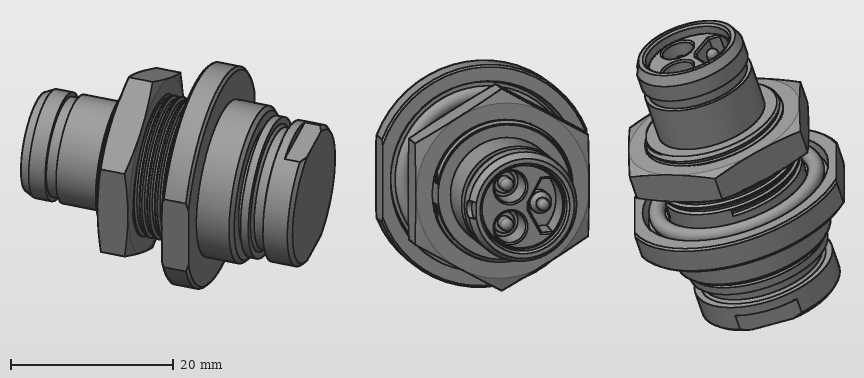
import cadquery as cq
import math

CLEARANCE = 0.18

NOSE_CHAMFER_END = 1.22
SNAP_GROOVE_START = 3.35
SNAP_GROOVE_END = 4.8
THREAD_START = 10.45
FLANGE_FRONT = 20.55
FLANGE_BACK = 24.0
BODY_END = 28.75
RING_START = 29.4
RING_END = 30.42
REAR_NECK_START = 30.78
REAR_NECK_END = 31.95
TAIL_START = 32.33
TAIL_FLAT_START = 33.5
LENGTH = 36.0

NOSE_TIP_RADIUS = 6.25
NOSE_RADIUS = 6.88
SNAP_GROOVE_RADIUS = 6.35
THREAD_RADIUS = 8.93
FLANGE_RADIUS = 14.0
BODY_RADIUS = 9.95
NECK_RADIUS = 7.7
TAIL_RADIUS = THREAD_RADIUS
FLANGE_FRONT_CHAMFER = 0.25
FLANGE_BACK_CHAMFER = 0.35
END_CHAMFER = 0.5

FLANGE_ACROSS_FLATS = 26.0
TAIL_ACROSS_FLATS = 16.0
THREAD_FLAT_Y = 8.42

PITCH = 1.0
THREAD_DEPTH = 0.4
CREST_WIDTH = 0.25
FLANK_ANGLE = 30.0
CREST_X_AT_TOP = 16.25
TURNS_PAST_CREST = 3
THREAD_LEAD_CHAMFER = 0.45

SEAL_TUBE_RADIUS = 1.0
SEAL_RADIUS = 10.25
SEAL_PROTRUSION = 0.55
SEAL_GROOVE_DEPTH = 1.35
SEAL_GROOVE_MOUTH_RADIUS = 12.0
SEAL_GROOVE_FLOOR_RADIUS = 11.63

KEY_SLOT_RADIUS = 1.05
KEY_SLOT_FLOOR_Y = 6.2

SOCKET_RADIUS = 5.4
SOCKET_CHAMFER = 0.3
SOCKET_DEPTH = 1.2
INSERT_CHAMFER = 0.2
CAVITY_DEPTH = 3.6
CAVITY_FLOOR = SOCKET_DEPTH + CAVITY_DEPTH
CAVITY_RADIUS = 1.98
CAVITY_CHAMFER = 0.2
CAVITY_DRAFT = 0.15
CONTACT_Y = 1.55
CONTACT_Z = 2.52
CONTACT_RADIUS = 0.83
CONTACT_TIP_DEPTH = 1.0
CONTACT_COLLAR_RADIUS = 1.35
CONTACT_COLLAR_LENGTH = 0.35
EARTH_POCKET_RADIUS = 5.1
EARTH_Y = -2.8
EARTH_RADIUS = 0.75
EARTH_TIP_DEPTH = -0.15
EARTH_CONE_LENGTH = 0.72
EARTH_POCKET_APEX_Y = -0.83
EARTH_POCKET_APEX_HALF = 0.45
EARTH_POCKET_SHOULDER_Y = -2.45
EARTH_POCKET_HALF = 3.4

NUT_START = 11.52
NUT_WIDTH = 3.95
NUT_ACROSS_FLATS = 22.05
NUT_CHAMFER_LENGTH = 0.45


def turned(points):
    """Solid of revolution about X from (x, radius) points."""
    return cq.Workplane("XY").polyline(points).close().revolve(360, (0, 0, 0), (1, 0, 0))


def rod(radius, start, end, y=0.0, z=0.0):
    """Cylinder parallel to X."""
    return cq.Workplane("YZ", origin=(start, y, z)).circle(radius).extrude(end - start)


def box_between(x0, x1, y0, y1, z0, z1):
    return cq.Workplane("XY").box(x1 - x0, y1 - y0, z1 - z0, centered=False).translate((x0, y0, z0))


def turned_shell():
    return turned([
        (0, 0),
        (0, NOSE_TIP_RADIUS),
        (NOSE_CHAMFER_END, NOSE_RADIUS),
        (SNAP_GROOVE_START, NOSE_RADIUS),
        (SNAP_GROOVE_START, SNAP_GROOVE_RADIUS),
        (SNAP_GROOVE_END, SNAP_GROOVE_RADIUS),
        (SNAP_GROOVE_END, NOSE_RADIUS),
        (THREAD_START, NOSE_RADIUS),
        (THREAD_START, THREAD_RADIUS - THREAD_LEAD_CHAMFER),
        (THREAD_START + THREAD_LEAD_CHAMFER, THREAD_RADIUS),
        (FLANGE_FRONT, THREAD_RADIUS),
        (FLANGE_FRONT, FLANGE_RADIUS - FLANGE_FRONT_CHAMFER),
        (FLANGE_FRONT + FLANGE_FRONT_CHAMFER, FLANGE_RADIUS),
        (FLANGE_BACK - FLANGE_BACK_CHAMFER, FLANGE_RADIUS),
        (FLANGE_BACK, FLANGE_RADIUS - FLANGE_BACK_CHAMFER),
        (FLANGE_BACK, BODY_RADIUS),
        (BODY_END - END_CHAMFER, BODY_RADIUS),
        (BODY_END, BODY_RADIUS - END_CHAMFER),
        (BODY_END, NECK_RADIUS),
        (RING_START, NECK_RADIUS),
        (RING_START, TAIL_RADIUS),
        (RING_END, TAIL_RADIUS),
        (RING_END, NECK_RADIUS + REAR_NECK_START - RING_END),
        (REAR_NECK_START, NECK_RADIUS),
        (REAR_NECK_END, NECK_RADIUS),
        (TAIL_START, NECK_RADIUS + TAIL_START - REAR_NECK_END),
        (TAIL_START, TAIL_RADIUS),
        (LENGTH - END_CHAMFER, TAIL_RADIUS),
        (LENGTH, TAIL_RADIUS - END_CHAMFER),
        (LENGTH, 0),
    ])


def side_slabs(start, end, half_gap, axis):
    """Pair of cutters that leave two flats at +/-half_gap; axis is 'Y' or 'Z'."""
    reach = FLANGE_RADIUS + CLEARANCE
    slab = box_between(start, end, half_gap, reach, -reach, reach)
    if axis == "Z":
        slab = slab.rotate((0, 0, 0), (1, 0, 0), 90)
    return slab.union(slab.rotate((0, 0, 0), (1, 0, 0), 180))


def thread_cutter():
    """Right-hand helical groove with a trapezoid section, running out past the thread start."""
    flank = THREAD_DEPTH * math.tan(math.radians(FLANK_ANGLE))
    mouth_half = (PITCH - CREST_WIDTH) / 2
    root_half = mouth_half - flank
    outer_half = mouth_half + CLEARANCE * math.tan(math.radians(FLANK_ANGLE))

    turns_to_front = math.ceil((CREST_X_AT_TOP - THREAD_START) / PITCH) + 1
    start = CREST_X_AT_TOP + PITCH / 2 - turns_to_front * PITCH
    run = CREST_X_AT_TOP + TURNS_PAST_CREST * PITCH - start
    root = THREAD_RADIUS - THREAD_DEPTH
    rim = THREAD_RADIUS + CLEARANCE
    helix = cq.Wire.makeHelix(PITCH, run, root)
    groove = (
        cq.Workplane("XZ")
        .polyline([(root, -root_half), (rim, -outer_half), (rim, outer_half), (root, root_half)])
        .close()
        .sweep(cq.Workplane(helix), isFrenet=True)
    )
    groove = groove.rotate((0, 0, 0), (0, 1, 0), 90).rotate((0, 0, 0), (1, 0, 0), 180)
    return groove.translate((start, 0, 0))


def seal_groove():
    floor = FLANGE_FRONT + SEAL_GROOVE_DEPTH
    return turned([
        (FLANGE_FRONT, THREAD_RADIUS),
        (FLANGE_FRONT, SEAL_GROOVE_MOUTH_RADIUS),
        (floor, SEAL_GROOVE_FLOOR_RADIUS),
        (floor, THREAD_RADIUS),
    ])


def seal_ring():
    centre_x = FLANGE_FRONT - SEAL_PROTRUSION + SEAL_TUBE_RADIUS
    return (
        cq.Workplane("XY")
        .center(centre_x, SEAL_RADIUS)
        .circle(SEAL_TUBE_RADIUS)
        .revolve(360, (0, -SEAL_RADIUS, 0), (1, -SEAL_RADIUS, 0))
    )


def key_slot():
    """Round-ended slot through the nose rim on the +Y side."""
    reach = NOSE_RADIUS + CLEARANCE
    straight = box_between(0, NOSE_CHAMFER_END, KEY_SLOT_FLOOR_Y, reach, -KEY_SLOT_RADIUS, KEY_SLOT_RADIUS)
    round_end = (
        cq.Workplane("XZ", origin=(NOSE_CHAMFER_END, reach, 0))
        .circle(KEY_SLOT_RADIUS)
        .extrude(reach - KEY_SLOT_FLOOR_Y)
    )
    return straight.union(round_end)


def socket_mouth():
    """Chamfered bore that leaves a bevelled insert face at its bottom."""
    return turned([
        (0, 0),
        (0, SOCKET_RADIUS + SOCKET_CHAMFER),
        (SOCKET_CHAMFER, SOCKET_RADIUS),
        (SOCKET_DEPTH + INSERT_CHAMFER, SOCKET_RADIUS),
        (SOCKET_DEPTH, SOCKET_RADIUS - INSERT_CHAMFER),
        (SOCKET_DEPTH, 0),
    ])


def contact_cavity(z):
    bore = turned([
        (SOCKET_DEPTH, 0),
        (SOCKET_DEPTH, CAVITY_RADIUS + CAVITY_CHAMFER),
        (SOCKET_DEPTH + CAVITY_CHAMFER, CAVITY_RADIUS),
        (CAVITY_FLOOR, CAVITY_RADIUS - CAVITY_DRAFT),
        (CAVITY_FLOOR, 0),
    ])
    return bore.translate((0, CONTACT_Y, z))


def domed_pin(radius, tip, y, z):
    """Pin with a hemispherical tip, standing on the cavity floor."""
    centre = tip + radius
    ball = cq.Workplane("XY").sphere(radius).translate((centre, y, z))
    return rod(radius, centre, CAVITY_FLOOR, y, z).union(ball)


def contact(z):
    pin = domed_pin(CONTACT_RADIUS, SOCKET_DEPTH + CONTACT_TIP_DEPTH, CONTACT_Y, z)
    collar = rod(CONTACT_COLLAR_RADIUS, CAVITY_FLOOR - CONTACT_COLLAR_LENGTH, CAVITY_FLOOR, CONTACT_Y, z)
    return pin.union(collar)


def earth_outline():
    """Pocket outline at the insert face, left long on the -Y side."""
    return (
        cq.Workplane("YZ", origin=(SOCKET_DEPTH, 0, 0))
        .polyline([
            (EARTH_POCKET_APEX_Y, EARTH_POCKET_APEX_HALF),
            (EARTH_POCKET_SHOULDER_Y, EARTH_POCKET_HALF),
            (-NOSE_RADIUS, EARTH_POCKET_HALF),
            (-NOSE_RADIUS, -EARTH_POCKET_HALF),
            (EARTH_POCKET_SHOULDER_Y, -EARTH_POCKET_HALF),
            (EARTH_POCKET_APEX_Y, -EARTH_POCKET_APEX_HALF),
        ])
        .close()
    )


def earth_pocket():
    """Drafted pointed pocket with a chamfered rim, bounded on the -Y side by a circle about the axis."""
    draft_angle = math.degrees(math.atan(CAVITY_DRAFT / CAVITY_DEPTH))
    pocket = earth_outline().extrude(CAVITY_DEPTH, taper=draft_angle)
    rim = earth_outline().offset2D(CAVITY_CHAMFER, "intersection").extrude(CAVITY_CHAMFER, taper=45)
    return pocket.union(rim).intersect(rod(EARTH_POCKET_RADIUS, SOCKET_DEPTH, CAVITY_FLOOR))


def earth_contact():
    """Domed pin that widens through a cone to a thicker shank."""
    tip = SOCKET_DEPTH + EARTH_TIP_DEPTH
    pin = domed_pin(EARTH_RADIUS, tip, EARTH_Y, 0)
    cone_start = tip + 2 * EARTH_RADIUS
    cone_end = cone_start + EARTH_CONE_LENGTH
    shank = turned([
        (cone_start, 0),
        (cone_start, EARTH_RADIUS),
        (cone_end, CONTACT_COLLAR_RADIUS),
        (CAVITY_FLOOR, CONTACT_COLLAR_RADIUS),
        (CAVITY_FLOOR, 0),
    ])
    return pin.union(shank.translate((0, EARTH_Y, 0)))


def make_housing():
    housing = turned_shell()
    housing = housing.cut(side_slabs(FLANGE_FRONT, FLANGE_BACK, FLANGE_ACROSS_FLATS / 2, "Y"))
    housing = housing.cut(side_slabs(TAIL_FLAT_START, LENGTH, TAIL_ACROSS_FLATS / 2, "Z"))
    housing = housing.cut(seal_groove())
    housing = housing.cut(thread_cutter())
    housing = housing.cut(box_between(
        THREAD_START, FLANGE_FRONT, THREAD_FLAT_Y, FLANGE_RADIUS, -FLANGE_RADIUS, FLANGE_RADIUS,
    ))
    housing = housing.cut(key_slot()).cut(socket_mouth()).cut(earth_pocket())
    for z in (-CONTACT_Z, CONTACT_Z):
        housing = housing.cut(contact_cavity(z)).union(contact(z))
    return housing.union(earth_contact()).union(seal_ring())


def make_nut():
    """Hexagon nut with corners at +/-Z, chamfered on both faces."""
    nut_end = NUT_START + NUT_WIDTH
    flat_radius = NUT_ACROSS_FLATS / 2
    corner_radius = flat_radius / math.cos(math.pi / 6)
    hexagon = (
        cq.Workplane("YZ", origin=(NUT_START, 0, 0))
        .polygon(6, 2 * corner_radius)
        .extrude(NUT_WIDTH)
        .rotate((0, 0, 0), (1, 0, 0), 90)
    )
    chamfer_envelope = turned([
        (NUT_START, 0),
        (NUT_START, flat_radius),
        (NUT_START + NUT_CHAMFER_LENGTH, corner_radius),
        (nut_end - NUT_CHAMFER_LENGTH, corner_radius),
        (nut_end, flat_radius),
        (nut_end, 0),
    ])
    return hexagon.intersect(chamfer_envelope).cut(rod(THREAD_RADIUS, NUT_START, nut_end))


housing = make_housing()
nut = make_nut()

result = cq.Compound.makeCompound([housing.solids().val(), nut.solids().val()])